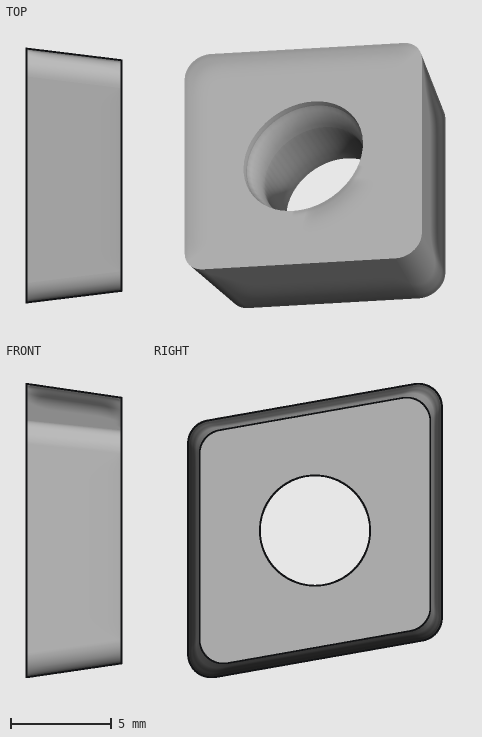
import cadquery as cq
import math

inscribed_diameter = 12.7
thickness = 4.76
acute_angle = 80.0
relief_angle = 7.0
corner_radius = 1.2
hole_diameter = 5.5
mouth_diameter = 6.4
mouth_depth = 0.32
seat_diameter = 6.3
seat_arc_radius = 2.7

inscribed_radius = inscribed_diameter / 2
hole_radius = hole_diameter / 2
mouth_radius = mouth_diameter / 2
seat_radius = seat_diameter / 2


def rhombus_corners():
    """Sharp (Y, Z) corners of the wide face, with two sides parallel to Z."""
    tilt = math.radians(90 - acute_angle)
    acute_z = inscribed_radius * (1 + math.sin(tilt)) / math.cos(tilt)
    obtuse_z = inscribed_radius * (1 - math.sin(tilt)) / math.cos(tilt)
    return [
        (inscribed_radius, acute_z),
        (-inscribed_radius, obtuse_z),
        (-inscribed_radius, -acute_z),
        (inscribed_radius, -obtuse_z),
    ]


def insert_body():
    """Rhombic block narrowing toward +X, with its four side edges rounded."""
    wide_face = cq.Workplane("YZ").polyline(rhombus_corners()).close()
    block = wide_face.extrude(thickness, taper=relief_angle)
    side_edges = block.edges("not #X")
    return side_edges.fillet(corner_radius)


def screw_hole():
    """Through hole: a short, slightly conical mouth, then a convex arc that runs tangent into the bore."""
    flare = seat_radius - hole_radius
    flare_length = math.sqrt(seat_arc_radius**2 - (seat_arc_radius - flare) ** 2)
    bore_start = mouth_depth + flare_length
    half_sweep = math.asin(flare_length / seat_arc_radius) / 2
    arc_middle_x = bore_start - seat_arc_radius * math.sin(half_sweep)
    arc_middle_radius = hole_radius + seat_arc_radius * (1 - math.cos(half_sweep))
    return (
        cq.Workplane("XZ")
        .moveTo(0, 0)
        .lineTo(0, -mouth_radius)
        .lineTo(mouth_depth, -seat_radius)
        .threePointArc((arc_middle_x, -arc_middle_radius), (bore_start, -hole_radius))
        .lineTo(thickness, -hole_radius)
        .lineTo(thickness, 0)
        .close()
        .revolve(360, (0, 0, 0), (1, 0, 0))
    )


result = insert_body().cut(screw_hole())